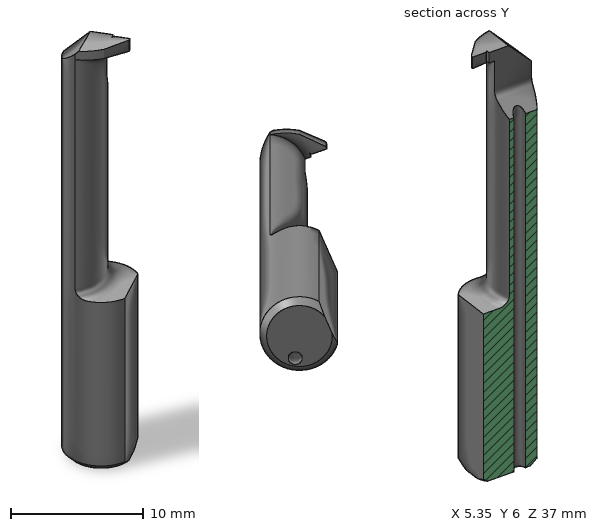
import cadquery as cq
import math

total_length = 37.0
shank_radius = 3.0
flat_x = 2.35
end_chamfer = 0.5

shoulder_z = 15.02
neck_face_x = 0.4
neck_edge_x = -1.3
root_radius = 0.78
head_bottom_z = 36.08

tip_x = 2.25
tip_land = 0.2
tip_face_y = -0.05
flank_start = (2.15, -0.37)
flank_end = (0.78, -1.9)
nose_mid = (-0.3, -2.45)
tip_drop = 0.1
chip_step_x = 0.9
chip_step_depth = 0.15

rake_y = 0.15
rake_arc_top_z = 33.6
rake_arc_radius = 1.35
runout_angle = math.radians(40)
back_ridge_x = -0.9
clearance_angle = math.radians(3)

coolant_center = (-0.98, 1.535)
coolant_radius = 0.5

neck_edge_y = math.sqrt(shank_radius**2 - neck_edge_x**2)
neck_sagitta = neck_face_x - neck_edge_x
neck_radius = (neck_edge_y**2 + neck_sagitta**2) / (2 * neck_sagitta)
neck_center_x = neck_face_x - neck_radius
cut_size = 3 * shank_radius


def make_shank():
    shank = cq.Workplane("XY").circle(shank_radius).extrude(total_length)
    shank = shank.faces("<Z").chamfer(end_chamfer)
    beyond_flat = cq.Workplane("XY").box(
        cut_size, 2 * cut_size, 3 * total_length, centered=(False, True, True)
    )
    return shank.cut(beyond_flat.translate((flat_x, 0, 0)))


def make_neck_relief():
    """Solid outside the neck cylinder, with a rounded root at the shoulder."""
    root_offset = root_radius * math.sqrt(0.5)
    profile = (
        cq.Workplane("XZ")
        .moveTo(neck_radius + root_radius, shoulder_z)
        .threePointArc(
            (
                neck_radius + root_radius - root_offset,
                shoulder_z + root_radius - root_offset,
            ),
            (neck_radius, shoulder_z + root_radius),
        )
        .lineTo(neck_radius, total_length)
        .lineTo(cut_size, total_length)
        .lineTo(cut_size, shoulder_z)
        .close()
    )
    ring = profile.revolve(360, (0, 0, 0), (0, 1, 0)).translate((neck_center_x, 0, 0))
    front_side = cq.Workplane("XY").box(
        cut_size, 2 * cut_size, 2 * total_length, centered=(False, True, True)
    )
    return ring.intersect(front_side.translate((neck_edge_x - root_radius, 0, 0)))


def make_head():
    """Hooked cutting head whose underside drops slightly towards the tip."""
    outline = (
        cq.Workplane("XY")
        .moveTo(neck_edge_x, rake_y)
        .lineTo(chip_step_x, rake_y)
        .lineTo(chip_step_x, tip_face_y - chip_step_depth)
        .lineTo(chip_step_x + chip_step_depth, tip_face_y)
        .lineTo(tip_x, tip_face_y)
        .lineTo(tip_x, tip_face_y - tip_land)
        .lineTo(*flank_start)
        .lineTo(*flank_end)
        .threePointArc(nose_mid, (neck_edge_x, -neck_edge_y))
        .close()
        .extrude(total_length)
    )
    side_profile = (
        cq.Workplane("XZ")
        .moveTo(neck_edge_x, head_bottom_z)
        .lineTo(flank_end[0], head_bottom_z)
        .lineTo(tip_x, head_bottom_z - tip_drop)
        .lineTo(tip_x, total_length)
        .lineTo(neck_edge_x, total_length)
        .close()
        .extrude(cut_size, both=True)
    )
    return outline.intersect(side_profile)


def make_rake_cut():
    """Flat rake face with a rounded run-out sloping to the back of the bar."""
    arc_center_y = rake_y + rake_arc_radius

    def arc_point(angle):
        return (
            arc_center_y - rake_arc_radius * math.cos(angle),
            rake_arc_top_z - rake_arc_radius * math.sin(angle),
        )

    arc_end = arc_point(runout_angle)
    runout_drop = (cut_size - arc_end[0]) / math.tan(runout_angle)
    return (
        cq.Workplane("YZ")
        .moveTo(rake_y, 2 * total_length)
        .lineTo(rake_y, rake_arc_top_z)
        .threePointArc(arc_point(runout_angle / 2), arc_end)
        .lineTo(cut_size, arc_end[1] - runout_drop)
        .lineTo(cut_size, 2 * total_length)
        .close()
        .extrude(cut_size, both=True)
    )


def make_back_bevel():
    """45 degree bevel falling from the top ridge to the back of the head."""
    return (
        cq.Workplane("XZ")
        .moveTo(back_ridge_x, total_length)
        .lineTo(back_ridge_x - cut_size, total_length - cut_size)
        .lineTo(back_ridge_x - cut_size, total_length)
        .close()
        .extrude(cut_size, both=True)
    )


def make_top_clearance():
    """Thin wedge that lets the top face fall away from the rake face."""
    wedge_drop = cut_size * math.tan(clearance_angle)
    return (
        cq.Workplane("YZ")
        .moveTo(rake_y, total_length)
        .lineTo(rake_y - cut_size, total_length)
        .lineTo(rake_y - cut_size, total_length - wedge_drop)
        .close()
        .extrude(cut_size, both=True)
    )


coolant_hole = (
    cq.Workplane("XY").center(*coolant_center).circle(coolant_radius).extrude(total_length)
)

result = make_shank().cut(make_neck_relief()).union(make_head())
for cutter in (make_rake_cut(), make_back_bevel(), make_top_clearance(), coolant_hole):
    result = result.cut(cutter)